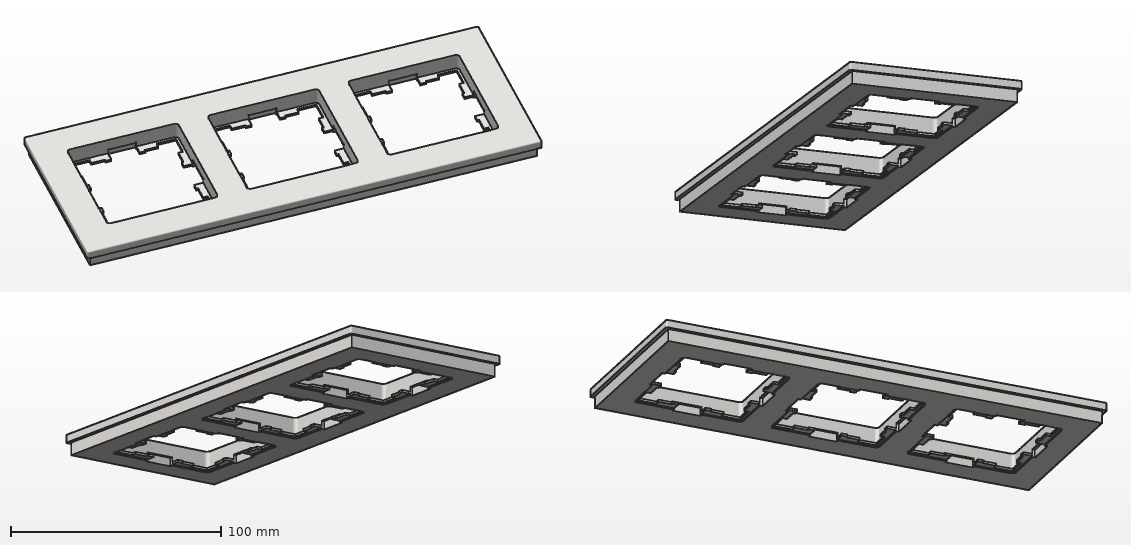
import cadquery as cq

length = 230.5
width = 88.0
height = 10.4
plate_thickness = 4.1
plate_edge_radius = 0.7
plate_corner_radius = 1.0

base_inset = 1.8
base_height = height - plate_thickness

window_count = 3
window_pitch = 71.2
window_size = 56.2
window_corner_radius = 1.8

lip_depth = 1.4
tab_depth = 3.7
nose_depth = 4.5
tab_outer = 17.0
nose_outer = 10.1
tab_inner = 7.1
lip_thickness = 1.2
lip_bottom = 0.7

undercut_depth = 1.4
undercut_height = 4.1


def make_body():
    """Cover plate with rounded edges on top of the inset base."""
    base = cq.Workplane("XY").box(
        width - 2 * base_inset, length - 2 * base_inset, base_height, centered=(True, True, False)
    )
    plate = (
        cq.Workplane("XY")
        .workplane(offset=base_height)
        .box(width, length, plate_thickness, centered=(True, True, False))
        .edges("|Z")
        .fillet(plate_corner_radius)
        .faces(">Z")
        .edges()
        .fillet(plate_edge_radius)
    )
    return base.union(plate)


def make_window():
    """Solid that cuts one window, with its undercuts, through the full height."""
    opening = (
        cq.Workplane("XY")
        .rect(window_size, window_size)
        .extrude(height)
        .edges("|Z")
        .fillet(window_corner_radius)
    )
    undercut_span = window_size + 2 * undercut_depth
    undercut_width = 2 * tab_inner
    undercuts_x = cq.Workplane("XY").rect(undercut_span, undercut_width).extrude(undercut_height)
    undercuts_y = cq.Workplane("XY").rect(undercut_width, undercut_span).extrude(undercut_height)
    return opening.union(undercuts_x).union(undercuts_y)


def make_corner_catch():
    """Lip around the +X +Y window corner, with a tab at each of its two ends."""
    wall = window_size / 2
    lip = wall - lip_depth
    tab = wall - tab_depth
    nose = wall - nose_depth
    outline = [
        (wall, wall),
        (tab_inner, wall),
        (tab_inner, nose),
        (nose_outer, nose),
        (nose_outer, tab),
        (tab_outer, tab),
        (tab_outer, lip),
        (lip, lip),
        (lip, tab_outer),
        (tab, tab_outer),
        (tab, nose_outer),
        (nose, nose_outer),
        (nose, tab_inner),
        (wall, tab_inner),
    ]
    return cq.Workplane("XY").workplane(offset=lip_bottom).polyline(outline).close().extrude(lip_thickness)


window = make_window()
corner_catch = make_corner_catch()

result = make_body()
for index in range(window_count):
    window_y = (index - (window_count - 1) / 2) * window_pitch
    result = result.cut(window.translate((0, window_y, 0)))
    for quarter_turn in range(4):
        turned_catch = corner_catch.rotate((0, 0, 0), (0, 0, 1), 90 * quarter_turn)
        result = result.union(turned_catch.translate((0, window_y, 0)))